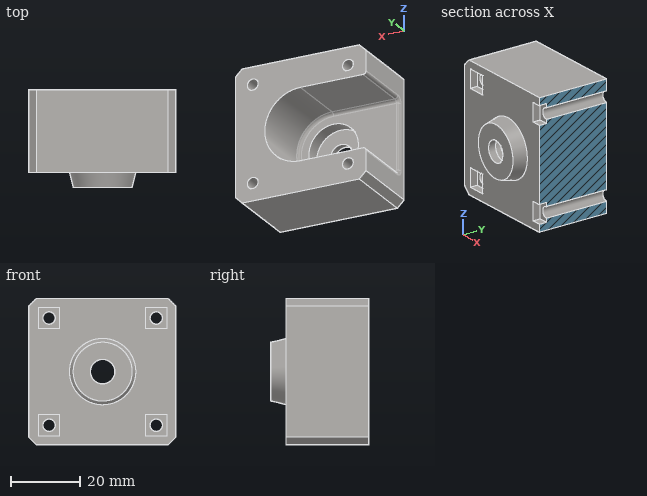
import cadquery as cq

BODY_WIDTH = 42.56
BODY_HEIGHT = 42.32
BODY_DEPTH = 24.0
CORNER_CHAMFER = 2.2
BODY_RIGHT = BODY_HEIGHT / 2
BODY_LEFT = BODY_RIGHT - BODY_WIDTH

BOSS_HEIGHT = 4.35
BOSS_BASE_DIAMETER = 19.2
BOSS_TIP_DIAMETER = 17.05
SHAFT_HOLE_DIAMETER = 7.0

BEARING_DIAMETER = 16.1
SHAFT_LIP = 2.5
BEARING_SEAT_FRONT = SHAFT_LIP - BOSS_HEIGHT

CAVITY_RADIUS = 11.55
FRONT_WALL = 3.0
CAVITY_FLOOR_FILLET = 1.0
OPENING_EDGE_FILLET = 1.0

SCREW_SPACING = 31.0
SCREW_DIAMETER = 3.5
NUT_POCKET_WIDTH = 6.1
NUT_POCKET_DEPTH = 2.5


def cylinder_along_y(diameter, y_start, y_end):
    """Cylinder on the shaft axis between two Y positions."""
    return (
        cq.Workplane("XZ", origin=(0, y_start, 0))
        .circle(diameter / 2)
        .extrude(y_start - y_end)
    )


def make_body():
    """Rectangular block with chamfered corners along Y."""
    block = cq.Workplane("XY").box(BODY_WIDTH, BODY_DEPTH, BODY_HEIGHT)
    block_centre = ((BODY_LEFT + BODY_RIGHT) / 2, BODY_DEPTH / 2, 0)
    return block.edges("|Y").chamfer(CORNER_CHAMFER).translate(block_centre)


def make_boss():
    """Cone frustum standing on the front face."""
    return (
        cq.Workplane("XY")
        .lineTo(BOSS_BASE_DIAMETER / 2, 0)
        .lineTo(BOSS_TIP_DIAMETER / 2, -BOSS_HEIGHT)
        .lineTo(0, -BOSS_HEIGHT)
        .close()
        .revolve(360, (0, 0, 0), (0, 1, 0))
    )


def make_cavity():
    """U-shaped cavity volume with a rounded floor edge, running out past the -X side."""
    slot_end = -BODY_WIDTH
    outline = (
        cq.Workplane("XZ", origin=(0, FRONT_WALL, 0))
        .moveTo(slot_end, -CAVITY_RADIUS)
        .lineTo(0, -CAVITY_RADIUS)
        .threePointArc((CAVITY_RADIUS, 0), (0, CAVITY_RADIUS))
        .lineTo(slot_end, CAVITY_RADIUS)
        .close()
    )
    cavity = outline.extrude(-BODY_DEPTH)
    floor_edges = cavity.faces("<Y").edges("not <X")
    return floor_edges.fillet(CAVITY_FLOOR_FILLET)


def round_opening(body):
    """Round the rim where the cavity breaks through the -X side."""
    margin = OPENING_EDGE_FILLET / 2
    rim = cq.selectors.BoxSelector(
        (BODY_LEFT - margin, FRONT_WALL - margin, -CAVITY_RADIUS - margin),
        (BODY_LEFT + margin, BODY_DEPTH - margin, CAVITY_RADIUS + margin),
    )
    return body.edges(rim).fillet(OPENING_EDGE_FILLET)


def front_pattern():
    """Front-face workplane with one point on each corner screw axis."""
    return cq.Workplane("XZ").rect(SCREW_SPACING, SCREW_SPACING, forConstruction=True).vertices()


def make_screw_cutters():
    """Through holes and square nut pockets at the four corners."""
    holes = front_pattern().circle(SCREW_DIAMETER / 2).extrude(-BODY_DEPTH)
    pockets = front_pattern().rect(NUT_POCKET_WIDTH, NUT_POCKET_WIDTH).extrude(-NUT_POCKET_DEPTH)
    return holes.union(pockets)


housing = round_opening(make_body().cut(make_cavity()))
housing = housing.union(make_boss())
housing = housing.cut(cylinder_along_y(SHAFT_HOLE_DIAMETER, -BOSS_HEIGHT, FRONT_WALL))
housing = housing.cut(cylinder_along_y(BEARING_DIAMETER, BEARING_SEAT_FRONT, FRONT_WALL))

result = housing.cut(make_screw_cutters())